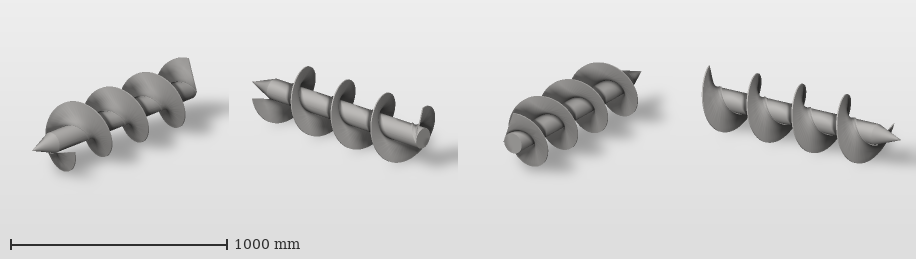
import cadquery as cq
import math

total_length = 1032.0
cone_length = 132.0
shaft_length = total_length - cone_length
shaft_radius = 50.0
flight_radius = 151.2
flight_thickness = 6.0
pitch = 240.0
turns = 3.75
start_angle = 90.0
root_radius = 49.0
heel_radius = 54.0



def tangent_angle(radius):
    """Angle from the root point to where its tangent line reaches the given radius."""
    return math.degrees(math.acos(root_radius / radius))


root_angle = start_angle - tangent_angle(flight_radius)
heel_angle = root_angle - tangent_angle(heel_radius)


def helix(radius, angle, height):
    """Helical wire that starts at the given angle and height."""
    wire = cq.Wire.makeHelix(pitch, pitch * turns, radius)
    wire = wire.rotate(cq.Vector(0, 0, 0), cq.Vector(0, 0, 1), angle)
    return wire.translate(cq.Vector(0, 0, height))


def end_face(corner_wires, position):
    """Flat face that closes the flight at one end of its four corner helices."""
    corners = [wire.positionAt(position) for wire in corner_wires]
    return cq.Face.makeFromWires(cq.Wire.makePolygon(corners, close=True))


def make_shaft():
    """Round shaft with a conical point, as one revolved outline."""
    return (
        cq.Workplane("XZ")
        .polyline([(0, 0), (shaft_radius, 0), (shaft_radius, shaft_length), (0, total_length)])
        .close()
        .revolve(360, (0, 0), (0, 1))
    )


def make_blade(edge_radius, edge_angle):
    """Helical blade from the root to an edge, bounded by ruled faces between its corner helices."""
    corner_wires = [
        helix(root_radius, root_angle, 0),
        helix(edge_radius, edge_angle, 0),
        helix(edge_radius, edge_angle, flight_thickness),
        helix(root_radius, root_angle, flight_thickness),
    ]
    faces = [end_face(corner_wires, 0), end_face(corner_wires, 1)]
    for index, wire in enumerate(corner_wires):
        next_wire = corner_wires[(index + 1) % len(corner_wires)]
        faces += cq.Face.makeRuledSurface(wire, next_wire).Faces()
    return cq.Workplane(obj=cq.Solid.makeSolid(cq.Shell.makeShell(faces)))


flight = make_blade(flight_radius, start_angle)
heel = make_blade(heel_radius, heel_angle)
auger = make_shaft().union(flight).union(heel)
result = auger.rotate((0, 0, 0), (1, 0, 0), 90)